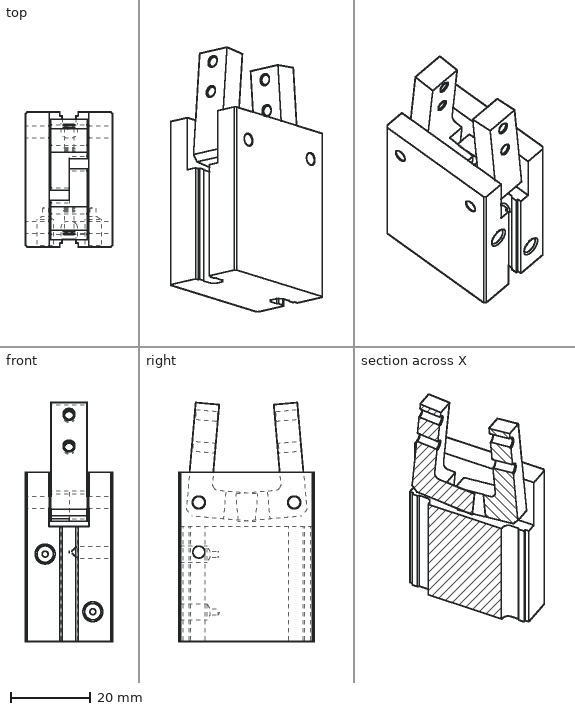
import cadquery as cq
import math

WIDTH = 22.0
DEPTH = 34.0
HEIGHT = 42.6
EDGE_CHAMFER = 0.5
CHANNEL_WIDTH = 10.0
CHANNEL_FLOOR = 29.0

SLOT_MOUTH_WIDTH = 4.6
SLOT_MOUTH_DEPTH = 1.0
SLOT_LIP_WIDTH = 3.4
SLOT_LIP_DEPTH = 2.5
SLOT_GROOVE_WIDTH = 4.1
SLOT_FLOOR_DEPTH = 6.5
SLOT_FLOOR_WIDTH = 1.0
SLOT_CORNER_RADIUS = (SLOT_GROOVE_WIDTH - SLOT_FLOOR_WIDTH) / 2

SIDE_HOLE_DIAMETER = 3.0
SIDE_HOLE_Z = 22.5
SIDE_HOLE_OVERCUT = 0.01

PORT_CENTRES = [(-6.0, 22.0), (6.0, 7.5)]
PORT_MOUTH_DIAMETER = 5.0
PORT_DIAMETER = 4.13
PORT_DEPTH = 7.0
PORT_PASSAGE_DIAMETER = 1.5
PORT_PASSAGE_DEPTH = 2.0
DRILL_TIP_HALF_ANGLE = math.radians(59)

PIVOT_Y = 12.0
PIVOT_Z = 35.0
PIN_DIAMETER = 3.0
PIN_MOUTH_DIAMETER = 3.24
PIN_MOUTH_DEPTH = (PIN_MOUTH_DIAMETER - PIN_DIAMETER) / 2

FINGER_WIDTH = 9.1
FINGER_HALF_THICKNESS = 3.0
FINGER_TOP = 25.0
FINGER_TILT = 5.0
HEEL_CHAMFER = 1.5
ARM_HALF_HEIGHT = 3.5
SHOULDER_LENGTH = 6.5
ARM_LENGTH = 14.5
ARM_FILLET = 1.5
JAW_HOLE_HEIGHTS = [14.0, 22.0]
JAW_HOLE_DIAMETER = 2.46
JAW_HOLE_MOUTH_DIAMETER = 3.0


def drill(profile, centre, direction):
    """Round cutter for a horizontal hole that starts at centre and runs along direction.

    The profile lists (radius, depth) points, from the axis at one end to the axis at the other.
    """
    up = cq.Vector(0, 0, 1)
    plane = cq.Plane(origin=centre, xDir=cq.Vector(*direction).cross(up), normal=up)
    return cq.Workplane(plane).polyline(profile).close().revolve(360, (0, 0, 0), (0, 1, 0))


def sensor_slot():
    """Slot in the -Y face over the full height: wide mouth, narrow lips, round-cornered groove."""
    lip_x = SLOT_LIP_WIDTH / 2
    groove_x = SLOT_GROOVE_WIDTH / 2
    flare = groove_x - lip_x
    half_floor = SLOT_FLOOR_WIDTH / 2
    corner_y = SLOT_FLOOR_DEPTH - SLOT_CORNER_RADIUS
    mouth = cq.Workplane("XY").rect(SLOT_MOUTH_WIDTH, 2 * SLOT_MOUTH_DEPTH).extrude(HEIGHT)
    groove = (
        cq.Workplane("XY")
        .moveTo(-lip_x, 0)
        .lineTo(-lip_x, SLOT_LIP_DEPTH)
        .lineTo(-groove_x, SLOT_LIP_DEPTH + flare)
        .lineTo(-groove_x, corner_y)
        .radiusArc((-half_floor, SLOT_FLOOR_DEPTH), SLOT_CORNER_RADIUS)
        .lineTo(half_floor, SLOT_FLOOR_DEPTH)
        .radiusArc((groove_x, corner_y), SLOT_CORNER_RADIUS)
        .lineTo(groove_x, SLOT_LIP_DEPTH + flare)
        .lineTo(lip_x, SLOT_LIP_DEPTH)
        .lineTo(lip_x, 0)
        .close()
        .extrude(HEIGHT)
    )
    return mouth.union(groove).translate((0, -DEPTH / 2, 0))


def side_hole():
    """Round hole along X that opens the +X half of the -Y slot floor."""
    radius = SIDE_HOLE_DIAMETER / 2
    axis_y = -DEPTH / 2 + SLOT_FLOOR_DEPTH + SIDE_HOLE_OVERCUT - radius
    return cq.Workplane("YZ").center(axis_y, SIDE_HOLE_Z).circle(radius).extrude(WIDTH / 2)


def air_port(x, z):
    """Chamfered port with a conical bottom that leads into a short narrow passage."""
    mouth_r = PORT_MOUTH_DIAMETER / 2
    port_r = PORT_DIAMETER / 2
    passage_r = PORT_PASSAGE_DIAMETER / 2
    cone_end = PORT_DEPTH + (port_r - passage_r) / math.tan(DRILL_TIP_HALF_ANGLE)
    passage_end = cone_end + PORT_PASSAGE_DEPTH
    tip = passage_end + passage_r / math.tan(DRILL_TIP_HALF_ANGLE)
    profile = [
        (0, 0),
        (mouth_r, 0),
        (port_r, mouth_r - port_r),
        (port_r, PORT_DEPTH),
        (passage_r, cone_end),
        (passage_r, passage_end),
        (0, tip),
    ]
    return drill(profile, (x, -DEPTH / 2, z), (0, 1, 0))


def pin_bore(y):
    """Through bore for one pivot pin, chamfered at both outer faces."""
    bore_r = PIN_DIAMETER / 2
    mouth_r = PIN_MOUTH_DIAMETER / 2
    profile = [
        (0, 0),
        (mouth_r, 0),
        (bore_r, PIN_MOUTH_DEPTH),
        (bore_r, WIDTH - PIN_MOUTH_DEPTH),
        (mouth_r, WIDTH),
        (0, WIDTH),
    ]
    return drill(profile, (-WIDTH / 2, y, PIVOT_Z), (1, 0, 0))


def make_housing():
    housing = cq.Workplane("XY").box(WIDTH, DEPTH, HEIGHT, (True, True, False))
    housing = housing.edges("|Z").chamfer(EDGE_CHAMFER)
    channel = cq.Workplane("XY").box(CHANNEL_WIDTH, DEPTH, HEIGHT - CHANNEL_FLOOR, (True, True, False))
    housing = housing.cut(channel.translate((0, 0, CHANNEL_FLOOR)))
    for turn in (0, 180):
        housing = housing.cut(sensor_slot().rotate((0, 0, 0), (0, 0, 1), turn))
    housing = housing.cut(side_hole())
    for x, z in PORT_CENTRES:
        housing = housing.cut(air_port(x, z))
    for y in (-PIVOT_Y, PIVOT_Y):
        housing = housing.cut(pin_bore(y))
    return housing


def jaw_hole(z):
    """Through hole across the finger, chamfered at both faces."""
    hole_r = JAW_HOLE_DIAMETER / 2
    mouth_r = JAW_HOLE_MOUTH_DIAMETER / 2
    thickness = 2 * FINGER_HALF_THICKNESS
    profile = [
        (0, 0),
        (mouth_r, 0),
        (hole_r, mouth_r - hole_r),
        (hole_r, thickness - (mouth_r - hole_r)),
        (mouth_r, thickness),
        (0, thickness),
    ]
    return drill(profile, (0, -FINGER_HALF_THICKNESS, z), (0, 1, 0))


def make_finger():
    """Finger on the +Y side: upright jaw, arm reaching towards -Y on the -X half, and pivot pin."""
    inner_y = -FINGER_HALF_THICKNESS
    outer_y = FINGER_HALF_THICKNESS
    finger = (
        cq.Workplane("YZ")
        .moveTo(inner_y, FINGER_TOP)
        .lineTo(outer_y, FINGER_TOP)
        .lineTo(outer_y, HEEL_CHAMFER - ARM_HALF_HEIGHT)
        .lineTo(outer_y - HEEL_CHAMFER, -ARM_HALF_HEIGHT)
        .lineTo(-ARM_LENGTH, -ARM_HALF_HEIGHT)
        .lineTo(-ARM_LENGTH, ARM_HALF_HEIGHT)
        .lineTo(inner_y - ARM_FILLET, ARM_HALF_HEIGHT)
        .radiusArc((inner_y, ARM_HALF_HEIGHT + ARM_FILLET), -ARM_FILLET)
        .close()
        .extrude(FINGER_WIDTH / 2, both=True)
    )
    arm_relief = cq.Workplane("XY").box(
        FINGER_WIDTH / 2, ARM_LENGTH - SHOULDER_LENGTH, 2 * ARM_HALF_HEIGHT, (False, False, True)
    )
    finger = finger.cut(arm_relief.translate((0, -ARM_LENGTH, 0)))
    for z in JAW_HOLE_HEIGHTS:
        finger = finger.cut(jaw_hole(z))
    pin_half_length = WIDTH / 2 - PIN_MOUTH_DEPTH
    pin = cq.Workplane("YZ").circle(PIN_DIAMETER / 2).extrude(pin_half_length, both=True)
    finger = finger.union(pin)
    finger = finger.rotate((0, 0, 0), (1, 0, 0), FINGER_TILT)
    return finger.translate((0, PIVOT_Y, PIVOT_Z))


housing = make_housing()
fingers = [make_finger().rotate((0, 0, 0), (0, 0, 1), turn) for turn in (0, 180)]

result = cq.Compound.makeCompound([housing.val(), *[finger.val() for finger in fingers]])